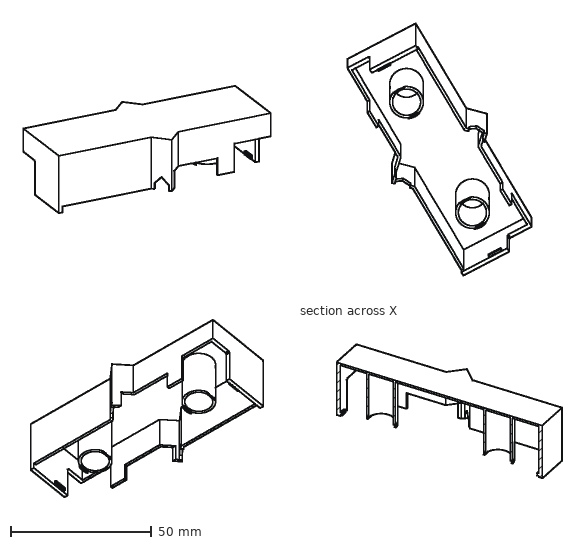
import cadquery as cq
import math

LENGTH = 85.0
SPAN = 38.9
HEIGHT = 22.3
BODY_WIDTH = 28.0
RIM_Z = 2.3
WING = (SPAN - BODY_WIDTH) / 2

SIDE_WALL = 1.0
END_WALL = 1.5
ROOF = 1.0

CORNER_WIDTH = 9.2
CORNER_LENGTH = 14.6
CORNER_DROP = 9.0
CORNER_CHAMFER = 0.5

SIDE_REACH = 3.1
SIDE_FAR_Y = 21.3
SIDE_DROP = 13.35

SLOT_WIDTH = 5.5
SLOT_PEAK = 4.9

TUBE_OUTER = 12.0
TUBE_INNER = 10.0
TUBE_Y = 24.15
TUBE_NOTCH_WIDTH = 11.05
TUBE_NOTCH_HEIGHT = 0.9

BUMP_WIDTH = 5.0
BUMP_DEPTH = 0.8
BUMP_HEIGHT = 1.2
BUMP_Z = 0.5
BUMP_CHAMFER = 0.25

HALF_WIDTH = BODY_WIDTH / 2
HALF_LENGTH = LENGTH / 2
HALF_SPAN = SPAN / 2


def block(x0, x1, y0, y1, z0, z1):
    """Box between two opposite corners."""
    return cq.Workplane("XY").box(x1 - x0, y1 - y0, z1 - z0, centered=False).translate((x0, y0, z0))


def winged_prism(half_width, half_length, tip, z0, z1):
    """Rectangle with a right-angled wing at the middle of each long side."""
    root = tip - half_width
    half_outline = [
        (half_width, -half_length),
        (half_width, -root),
        (tip, 0),
        (half_width, root),
        (half_width, half_length),
    ]
    opposite = [(-x, -y) for x, y in half_outline]
    return cq.Workplane("XY").workplane(offset=z0).polyline(half_outline + opposite).close().extrude(z1 - z0)


def both_ends(shape):
    """The shape together with its copy turned half a turn about Z."""
    return shape.union(shape.rotate((0, 0, 0), (0, 0, 1), 180))


def shell():
    """Hollow cover, open below, with end walls reaching down past the rim."""
    outer = winged_prism(HALF_WIDTH, HALF_LENGTH, HALF_SPAN, RIM_Z, HEIGHT)
    for y0 in (-HALF_LENGTH, HALF_LENGTH - END_WALL):
        outer = outer.union(block(-HALF_WIDTH, HALF_WIDTH, y0, y0 + END_WALL, 0, HEIGHT))
    cavity = winged_prism(
        HALF_WIDTH - SIDE_WALL,
        HALF_LENGTH - END_WALL,
        HALF_SPAN - SIDE_WALL * math.sqrt(2),
        RIM_Z,
        HEIGHT - ROOF,
    )
    return outer.cut(cavity)


def corner_opening():
    """Corner cut-out, chamfered along its upper inner edge."""
    opening = block(
        -HALF_WIDTH,
        -HALF_WIDTH + CORNER_WIDTH,
        -HALF_LENGTH,
        -HALF_LENGTH + CORNER_LENGTH,
        0,
        HEIGHT - CORNER_DROP,
    )
    return opening.edges(">X and >Z").chamfer(CORNER_CHAMFER)


def side_opening():
    """Cut-out through the side wall and the inner part of one wing face."""
    return block(
        -HALF_WIDTH - SIDE_REACH,
        -HALF_WIDTH + SIDE_WALL,
        -SIDE_FAR_Y,
        0,
        RIM_Z,
        HEIGHT - SIDE_DROP,
    )


def wing_slot():
    """Pointed slot square to the middle of the wing face towards -X and +Y."""
    half = SLOT_WIDTH / 2
    face_center = (-(HALF_WIDTH + WING / 2), WING / 2, RIM_Z)
    plane = cq.Plane(origin=face_center, xDir=(-1, -1, 0), normal=(-1, 1, 0))
    outline = [
        (-half, 0),
        (half, 0),
        (half, SLOT_PEAK - half),
        (0, SLOT_PEAK),
        (-half, SLOT_PEAK - half),
    ]
    return cq.Workplane(plane).polyline(outline).close().extrude(1.5 * SIDE_WALL, both=True)


def tube():
    """Round tube from the roof to the rim level, notched along X at its lower end."""
    pipe = (
        cq.Workplane("XY", origin=(0, -TUBE_Y, RIM_Z))
        .circle(TUBE_OUTER / 2)
        .circle(TUBE_INNER / 2)
        .extrude(HEIGHT - ROOF - RIM_Z)
    )
    notch = block(
        -TUBE_OUTER / 2,
        TUBE_OUTER / 2,
        -TUBE_Y - TUBE_NOTCH_WIDTH / 2,
        -TUBE_Y + TUBE_NOTCH_WIDTH / 2,
        RIM_Z,
        RIM_Z + TUBE_NOTCH_HEIGHT,
    )
    return pipe.cut(notch)


def snap_bump():
    """Small catch on the inner face of the end lip."""
    lip_y = -HALF_LENGTH + END_WALL
    bump = block(
        -BUMP_WIDTH / 2,
        BUMP_WIDTH / 2,
        lip_y,
        lip_y + BUMP_DEPTH,
        BUMP_Z,
        BUMP_Z + BUMP_HEIGHT,
    )
    return bump.edges(">Y and >Z").chamfer(BUMP_CHAMFER)


result = shell()
for opening in (corner_opening(), side_opening(), wing_slot()):
    result = result.cut(both_ends(opening))
for addition in (tube(), snap_bump()):
    result = result.union(both_ends(addition))